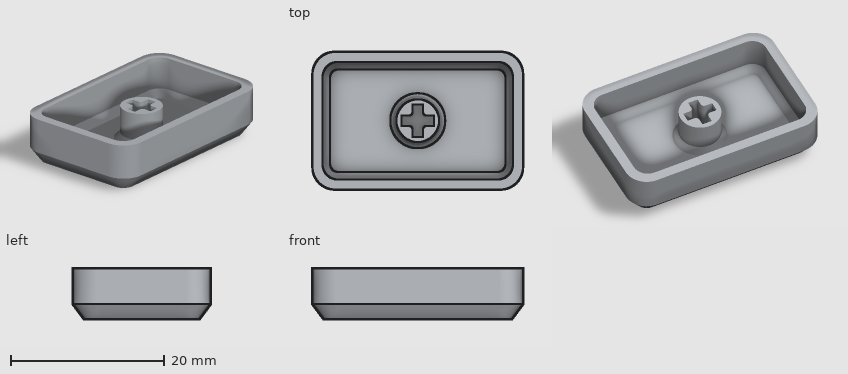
import cadquery as cq

length = 27.57
width = 18.05
height = 6.7
corner_radius = 3.0
base_bevel_height = 1.99
base_bevel_inset = 1.5

wall = 1.35
cavity_radius = 1.99
floor_thickness = 1.3
floor_bevel = 1.0

post_diameter = 5.6
post_top = 5.82
foot_flare = 0.8

cross_span = 4.22
cross_arm_width = 1.35
cross_inner_radius = 0.5
socket_depth = post_top - floor_thickness


def rounded_block(size_x, size_y, bottom, top, radius):
    """Upright block with rounded vertical edges."""
    block = cq.Workplane("XY").workplane(offset=bottom).rect(size_x, size_y).extrude(top - bottom)
    return block.edges("|Z").fillet(radius)


def bevelled_block(size_x, size_y, bottom, top, radius, bevel_height, bevel_inset):
    """Rounded block whose lower rim slopes inward."""
    block = rounded_block(size_x, size_y, bottom, top, radius)
    return block.faces("<Z").chamfer(bevel_height, bevel_inset)


def make_post():
    """Revolved post profile: cylinder on a conical foot, sunk to the cavity floor."""
    post_radius = post_diameter / 2
    foot_radius = post_radius + foot_flare
    return (
        cq.Workplane("XZ")
        .moveTo(0, floor_thickness)
        .lineTo(foot_radius, floor_thickness)
        .lineTo(post_radius, floor_thickness + foot_flare)
        .lineTo(post_radius, post_top)
        .lineTo(0, post_top)
        .close()
        .revolve(360, (0, 0, 0), (0, 1, 0))
    )


def make_socket():
    """Cross-shaped cutter with rounded inner corners."""
    plane = cq.Workplane("XY").workplane(offset=post_top - socket_depth)
    arm_x = plane.rect(cross_span, cross_arm_width).extrude(socket_depth)
    arm_y = plane.rect(cross_arm_width, cross_span).extrude(socket_depth)
    inner_corners = cq.selectors.BoxSelector(
        (-cross_arm_width, -cross_arm_width, 0),
        (cross_arm_width, cross_arm_width, height),
    )
    return arm_x.union(arm_y).edges("|Z").edges(inner_corners).fillet(cross_inner_radius)


tray = bevelled_block(
    length, width, 0, height, corner_radius, base_bevel_height, base_bevel_inset
)
cavity = bevelled_block(
    length - 2 * wall, width - 2 * wall, floor_thickness, height,
    cavity_radius, floor_bevel, floor_bevel,
)

result = tray.cut(cavity).union(make_post()).cut(make_socket())